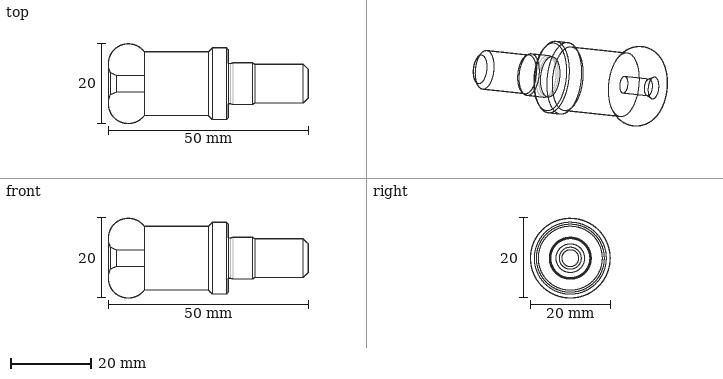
import cadquery as cq
import math

total_length = 50.0

tube_radius = 5.0
knob_end = 9.0

mouth_diameter = 5.5

spigot_diameter = 4.2
spigot_start = 2.0

shank_diameter = 16.0
shank_end = 25.0
collar_diameter = 18.0
collar_end = 30.0
collar_front_chamfer = (collar_diameter - shank_diameter) / 2
collar_back_chamfer = 0.5

neck_diameter = 10.1
neck_length = 0.5
neck_end = collar_end + neck_length
seat_diameter = 10.5
seat_start = 31.2
seat_end = 36.0
stud_diameter = 9.75
stud_start = 36.6
tip_chamfer = 1.3


def turned(profile):
    """Close an (X, radius) outline and revolve it a full turn about the X axis."""
    return profile.close().revolve(360, (0, 0, 0), (1, 0, 0))


def tube_face_position(radius):
    """X of the front surface of the knob tube at a given radius from the axis."""
    offset = radius - tube_radius
    return tube_radius - math.sqrt(tube_radius**2 - offset**2)


def make_knob():
    bore_radius = spigot_diameter / 2
    mouth_radius = mouth_diameter / 2
    outer_radius = 2 * tube_radius
    return turned(
        cq.Workplane("XY")
        .moveTo(spigot_start, bore_radius)
        .lineTo(tube_face_position(mouth_radius), mouth_radius)
        .threePointArc((tube_radius, outer_radius), (knob_end, shank_diameter / 2))
        .lineTo(knob_end, bore_radius)
    )


def make_pin():
    spigot_radius = spigot_diameter / 2
    shank_radius = shank_diameter / 2
    collar_radius = collar_diameter / 2
    neck_radius = neck_diameter / 2
    seat_radius = seat_diameter / 2
    stud_radius = stud_diameter / 2
    return turned(
        cq.Workplane("XY")
        .moveTo(spigot_start, 0)
        .lineTo(spigot_start, spigot_radius)
        .lineTo(knob_end, spigot_radius)
        .lineTo(knob_end, shank_radius)
        .lineTo(shank_end, shank_radius)
        .lineTo(shank_end + collar_front_chamfer, collar_radius)
        .lineTo(collar_end - collar_back_chamfer, collar_radius)
        .lineTo(collar_end, collar_radius - collar_back_chamfer)
        .lineTo(collar_end, neck_radius)
        .lineTo(neck_end, neck_radius)
        .lineTo(seat_start, seat_radius)
        .lineTo(seat_end, seat_radius)
        .lineTo(stud_start, stud_radius)
        .lineTo(total_length - tip_chamfer, stud_radius)
        .lineTo(total_length, stud_radius - tip_chamfer)
        .lineTo(total_length, 0)
    )


knob = make_knob()
pin = make_pin()
result = cq.Compound.makeCompound([knob.val(), pin.val()])